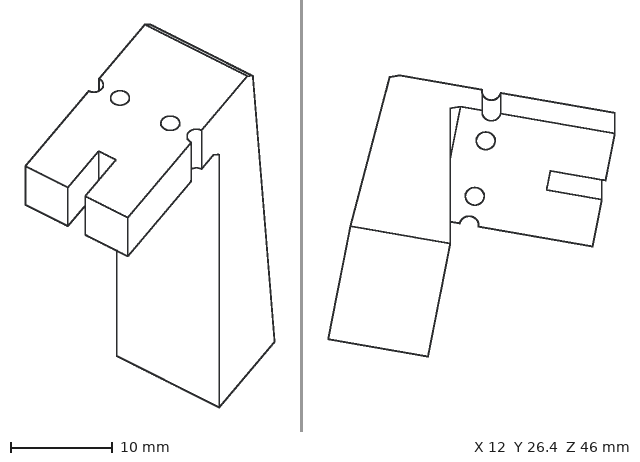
import cadquery as cq

width = 12.0
depth = 26.4
height = 46.0

base_depth = 10.0
arm_thickness = 6.0
inner_chamfer = 1.0
back_top_y = 22.5
top_chamfer = 1.0

slot_width = 2.02
slot_length = 5.5

hole_diameter = 1.85
hole_row_y = 12.35
inner_hole_x = 2.95

leg_front_y = depth - base_depth
arm_bottom_z = height - arm_thickness


def make_bracket():
    """Extrude the side profile, symmetric about X = 0."""
    profile = [
        (0, arm_bottom_z),
        (leg_front_y - inner_chamfer, arm_bottom_z),
        (leg_front_y, arm_bottom_z - inner_chamfer),
        (leg_front_y, 0),
        (depth, 0),
        (back_top_y, height - top_chamfer),
        (back_top_y - top_chamfer, height),
        (0, height),
    ]
    return cq.Workplane("YZ").polyline(profile).close().extrude(width / 2, both=True)


def make_slot():
    """Slot cutter, open at the free end of the arm."""
    return (
        cq.Workplane("XY", origin=(0, 0, arm_bottom_z))
        .rect(slot_width, 2 * slot_length)
        .extrude(arm_thickness)
    )


def make_holes():
    """Two full holes and two half-round edge notches through the arm."""
    row_x = [-width / 2, -inner_hole_x, inner_hole_x, width / 2]
    return (
        cq.Workplane("XY", origin=(0, 0, arm_bottom_z))
        .pushPoints([(x, hole_row_y) for x in row_x])
        .circle(hole_diameter / 2)
        .extrude(arm_thickness)
    )


result = make_bracket().cut(make_slot()).cut(make_holes())